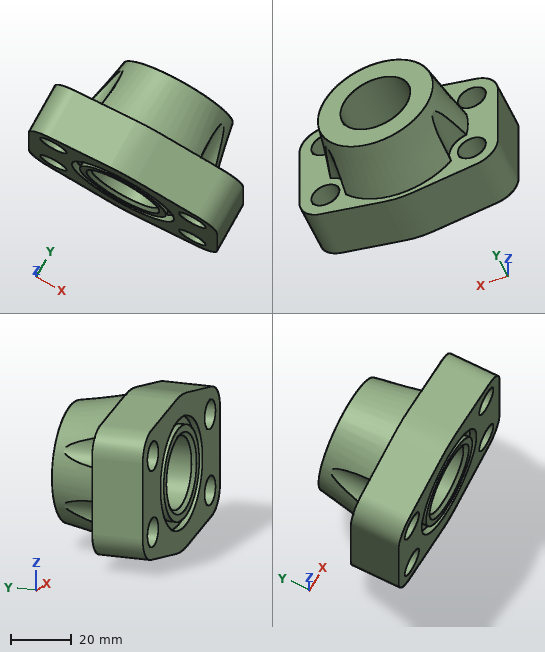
import cadquery as cq
import math

length = 71.0
height = 53.9
plate_thickness = 17.95

hole_x = 26.2
hole_z = 13.1
hole_diameter = 10.0

neck_length = 20.0
neck_base_radius = 24.85
neck_end_radius = 20.6
neck_hollow = 0.2
scallop_radius = 8.0

bore_diameter = 25.0
bore_chamfer = 1.3
groove_outer_diameter = 38.5
groove_inner_diameter = 32.5
groove_depth = 2.4

corner_radius = length / 2 - hole_x
crown_radius = height / 2
bolt_points = [(x, z) for x in (-hole_x, hole_x) for z in (-hole_z, hole_z)]


def cylinder_along_y(radius, start, end, x=0, z=0):
    return cq.Workplane(cq.Solid.makeCylinder(radius, end - start, cq.Vector(x, start, z), cq.Vector(0, 1, 0)))


def make_plate():
    bolt_distance = math.hypot(hole_x, hole_z)
    slope = math.asin((crown_radius - corner_radius) / bolt_distance) - math.atan2(hole_z, hole_x)
    crown_x = crown_radius * math.sin(slope)
    crown_z = crown_radius * math.cos(slope)
    corner_x = hole_x + corner_radius * math.sin(slope)
    corner_z = hole_z + corner_radius * math.cos(slope)
    corner_middle = (slope + math.pi / 2) / 2
    middle_x = hole_x + corner_radius * math.sin(corner_middle)
    middle_z = hole_z + corner_radius * math.cos(corner_middle)
    side_x = length / 2

    outline = (
        cq.Workplane("XZ")
        .moveTo(-crown_x, crown_z)
        .threePointArc((0, crown_radius), (crown_x, crown_z))
        .lineTo(corner_x, corner_z)
        .threePointArc((middle_x, middle_z), (side_x, hole_z))
        .lineTo(side_x, -hole_z)
        .threePointArc((middle_x, -middle_z), (corner_x, -corner_z))
        .lineTo(crown_x, -crown_z)
        .threePointArc((0, -crown_radius), (-crown_x, -crown_z))
        .lineTo(-corner_x, -corner_z)
        .threePointArc((-middle_x, -middle_z), (-side_x, -hole_z))
        .lineTo(-side_x, hole_z)
        .threePointArc((-middle_x, middle_z), (-corner_x, corner_z))
        .close()
    )
    return outline.extrude(-plate_thickness)


def make_neck():
    neck_end = plate_thickness + neck_length
    middle_radius = (neck_base_radius + neck_end_radius) / 2 - neck_hollow
    neck = (
        cq.Workplane("XY")
        .moveTo(0, plate_thickness)
        .lineTo(neck_base_radius, plate_thickness)
        .threePointArc((middle_radius, plate_thickness + neck_length / 2), (neck_end_radius, neck_end))
        .lineTo(0, neck_end)
        .close()
        .revolve(360, (0, 0), (0, 1))
    )
    for x, z in bolt_points:
        neck = neck.cut(cylinder_along_y(scallop_radius, plate_thickness, neck_end, x, z))
    return neck


def make_bore():
    bore_radius = bore_diameter / 2
    chamfer = cq.Solid.makeCone(
        bore_radius + bore_chamfer, bore_radius, bore_chamfer, cq.Vector(0, 0, 0), cq.Vector(0, 1, 0)
    )
    return cylinder_along_y(bore_radius, 0, plate_thickness + neck_length).union(cq.Workplane(chamfer))


def make_groove():
    outer = cylinder_along_y(groove_outer_diameter / 2, 0, groove_depth)
    return outer.cut(cylinder_along_y(groove_inner_diameter / 2, 0, groove_depth))


result = make_plate().union(make_neck()).cut(make_bore()).cut(make_groove())
for hole_center_x, hole_center_z in bolt_points:
    bolt_hole = cylinder_along_y(hole_diameter / 2, 0, plate_thickness, hole_center_x, hole_center_z)
    result = result.cut(bolt_hole)